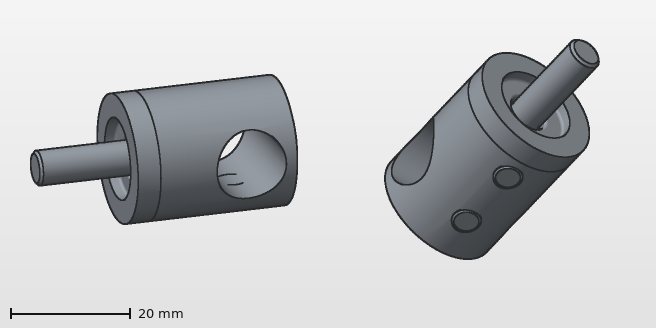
import cadquery as cq
import math

total_length = 44.5
stud_projection = 14.5
body_diameter = 22.0
body_radius = body_diameter / 2
body_length = total_length - stud_projection
dome_height = 2.0
bar_hole_radius = 6.1
bar_hole_y = 19.95

ring_thickness = 4.0
recess_radius = 7.0
recess_depth = 2.0
edge_size = 0.5

stud_radius = 3.0
shoulder_radius = stud_radius + edge_size
shoulder_y = 3.3
stud_end_y = 12.0

screw_radius = 2.5
screw_chamfer = 0.4
lock_screw_y = 8.0


def cylinder_y(radius, start, end):
    """Cylinder about the Y axis, from Y = start to Y = end."""
    return cq.Workplane("XZ", origin=(0, start, 0)).circle(radius).extrude(start - end)


def make_screw(y, tip_z):
    """Plain vertical screw shape from the underside of the body up to tip_z."""
    return cq.Workplane("XY", origin=(0, y, -body_radius)).circle(screw_radius).extrude(tip_z + body_radius)


def make_housing(stud, screw_places):
    """Domed cylinder with a cross hole for the bar, a stud socket and screw holes."""
    rim_y = body_length - dome_height
    dome_sphere_radius = (body_radius**2 + dome_height**2) / (2 * dome_height)
    half_angle = math.asin(body_radius / dome_sphere_radius) / 2
    dome_middle = (
        dome_sphere_radius * math.sin(half_angle),
        body_length - dome_sphere_radius * (1 - math.cos(half_angle)),
    )
    housing = (
        cq.Workplane("XY")
        .moveTo(0, ring_thickness)
        .lineTo(body_radius, ring_thickness)
        .lineTo(body_radius, rim_y)
        .threePointArc(dome_middle, (0, body_length))
        .close()
        .revolve(360, (0, 0, 0), (0, 1, 0))
    )
    bar_hole = (
        cq.Workplane("YZ").center(bar_hole_y, 0).circle(bar_hole_radius).extrude(body_radius, both=True)
    )
    housing = housing.cut(bar_hole)
    for y, tip_z in screw_places:
        housing = housing.cut(make_screw(y, tip_z))
    return housing.cut(stud)


def make_ring():
    """Ring with a round-cornered recess and a rounded bore around the stud shoulder."""
    recess = cylinder_y(recess_radius, 0, recess_depth).faces(">Y").edges().fillet(edge_size)
    ring = cylinder_y(body_radius, 0, ring_thickness).cut(recess)
    ring = ring.cut(cylinder_y(shoulder_radius, 0, ring_thickness))
    lip = cq.selectors.BoxSelector(
        (-shoulder_radius, recess_depth - edge_size / 2, -shoulder_radius),
        (shoulder_radius, recess_depth + edge_size / 2, shoulder_radius),
    )
    return ring.edges(lip).fillet(edge_size)


def make_stud():
    """Stud with a chamfered tip and a chamfered shoulder that fits the bore."""
    profile = [
        (0, -stud_projection),
        (stud_radius - edge_size, -stud_projection),
        (stud_radius, edge_size - stud_projection),
        (stud_radius, shoulder_y),
        (shoulder_radius, shoulder_y + edge_size),
        (shoulder_radius, stud_end_y),
        (0, stud_end_y),
    ]
    return cq.Workplane("XY").polyline(profile).close().revolve(360, (0, 0, 0), (0, 1, 0))


screw_places = [
    (bar_hole_y, -bar_hole_radius),
    (lock_screw_y, -shoulder_radius),
]
stud = make_stud()
housing = make_housing(stud, screw_places)
ring = make_ring()
screws = [make_screw(y, tip_z).faces("<Z").chamfer(screw_chamfer) for y, tip_z in screw_places]

result = cq.Compound.makeCompound(
    [housing.val(), ring.val(), stud.val(), *[screw.val() for screw in screws]]
)